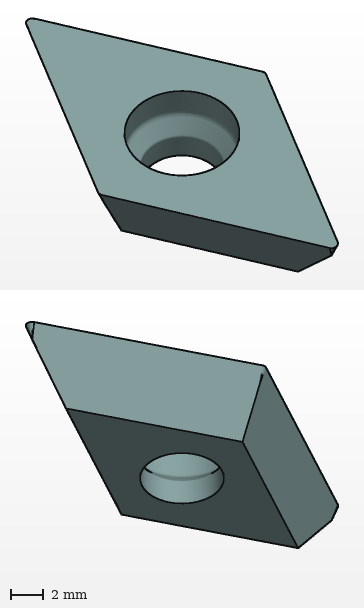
import cadquery as cq
import math


inscribed_diameter = 12.7
thickness = 4.76
acute_angle = math.radians(55)
relief_angle_degrees = 20
nose_radius = 0.4

head_bore_diameter = 7.0
head_bore_depth = 1.8
through_diameter = 5.1
seat_half_angle = math.radians(42)
run_in_radius = 0.5
lip_radius = 0.2

inscribed_radius = inscribed_diameter / 2
top_z = thickness / 2
bottom_z = -top_z


def rhombus_corners():
    """Sharp corners of the rhombus drawn around the inscribed circle."""
    half_side = inscribed_radius / math.sin(acute_angle)
    slant = inscribed_radius / math.tan(acute_angle)
    return [
        (half_side + slant, inscribed_radius),
        (slant - half_side, inscribed_radius),
        (-half_side - slant, -inscribed_radius),
        (half_side - slant, -inscribed_radius),
    ]


def make_body():
    """Rhombic block narrowing downwards; each nose becomes a cone that runs out to a point."""
    corners = rhombus_corners()
    closed_outline = corners + corners[:1]
    cutting_face = cq.Sketch().polygon(closed_outline).vertices().fillet(nose_radius)
    return (
        cq.Workplane("XY", origin=(0, 0, top_z))
        .placeSketch(cutting_face)
        .extrude(-thickness, taper=relief_angle_degrees)
    )


def make_screw_hole():
    """Revolved hole; the two arcs are tangent to the bores and to the conical seat."""
    head_radius = head_bore_diameter / 2
    through_radius = through_diameter / 2

    width_per_radius = 1 - math.cos(seat_half_angle)
    height_per_radius = math.sin(seat_half_angle)

    seat_start_radius = head_radius - run_in_radius * width_per_radius
    seat_end_radius = through_radius + lip_radius * width_per_radius
    run_in_start_z = top_z - head_bore_depth
    seat_start_z = run_in_start_z - run_in_radius * height_per_radius
    seat_end_z = seat_start_z - (seat_start_radius - seat_end_radius) / math.tan(seat_half_angle)
    lip_end_z = seat_end_z - lip_radius * height_per_radius

    profile = (
        cq.Workplane("XZ")
        .moveTo(0, top_z)
        .lineTo(head_radius, top_z)
        .lineTo(head_radius, run_in_start_z)
        .tangentArcPoint((seat_start_radius, seat_start_z), relative=False)
        .lineTo(seat_end_radius, seat_end_z)
        .tangentArcPoint((through_radius, lip_end_z), relative=False)
        .lineTo(through_radius, bottom_z)
        .lineTo(0, bottom_z)
        .close()
    )
    return profile.revolve(360, (0, 0, 0), (0, 1, 0))


result = make_body().cut(make_screw_hole())